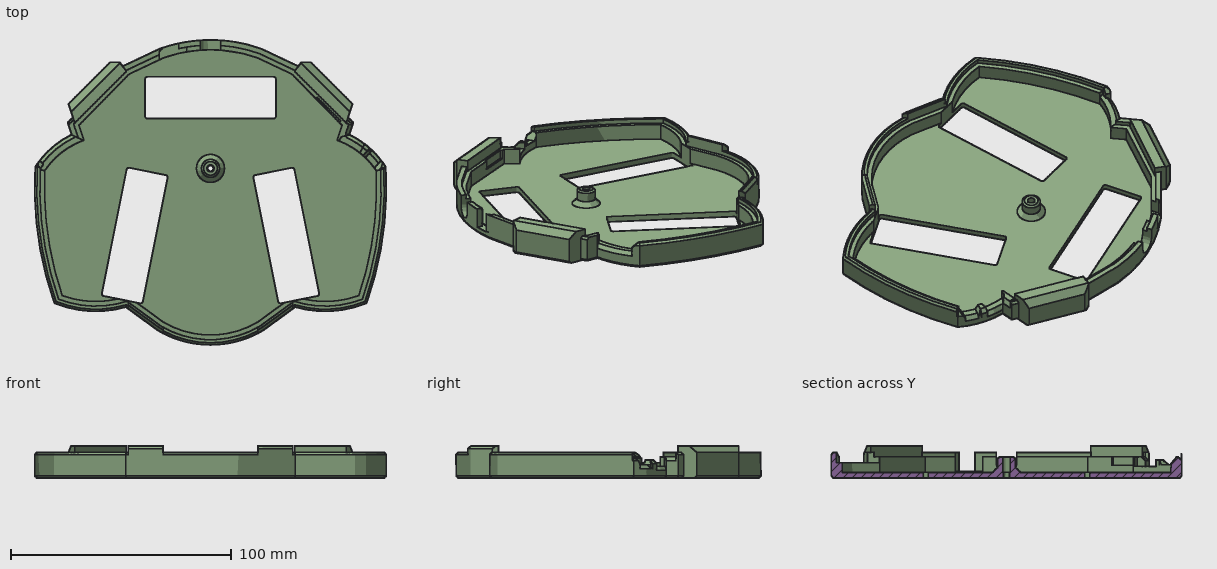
import cadquery as cq
import math

FLOOR_Z = 2.63
LEDGE_Z = FLOOR_Z + 7.0
LIP_Z = LEDGE_Z + 2.0
TOP_Z = LIP_Z + 3.0

LIP_WIDTH = 2.4
WALL_WIDTH = 4.5
EDGE_CHAMFER = 1.0
CHAMFER_ANGLE = 45.0
CHAMFERED_LIP_BACK_Y = 1.0

HALF_WIDTH = 159.31 / 2
FRONT_Y = -79.95
BACK_Y = 58.2
FRONT_ARC_END = (23.9, -73.3)
FRONT_NOTCH = (38.3, -62.8)
LOBE_MID = (51.5, -64.75)
LOBE_END = (70.7, -61.0)
LOBE_CORNER_RADIUS = 2.0
SIDE_MID = (78.2, -30.0)
SIDE_END = (79.38, 0.6)
BULGE_MID = (72.8, 8.5)
SHOULDER_INNER = (62.9, 15.3)
SHOULDER_OUTER = (64.7, 20.7)
FLANK_END = (39.5, 46.4)
BACK_ARC_END = (23.0, 54.2)

WINDOW_LENGTH = 59.1
WINDOW_WIDTH = 18.8
WINDOW_CORNER_RADIUS = 1.0
BACK_WINDOW_Y = 32.0
SIDE_WINDOW_CENTRE = (34.3, -30.4)
SIDE_WINDOW_TILT = 11.3

BOSS_DIAMETER = 8.2
BOSS_TOP_Z = LEDGE_Z
BOSS_CHAMFER_WIDTH = 1.0
BOSS_CHAMFER_HEIGHT = 0.7
BOSS_CONE = 2.25
BOSS_BORE = 3.2
BOSS_THROUGH_HOLE = 2.53

DIAGONAL = math.sqrt(0.5)
SHOULDER_FACE = (SHOULDER_OUTER[0] + SHOULDER_OUTER[1]) * DIAGONAL
SHOULDER_SPAN = (27.0, 33.0)
BLOCK_INNER = SHOULDER_FACE - LIP_WIDTH
BLOCK_OUTER = 66.1
BLOCK_BEVEL_WIDTH = 3.4
BLOCK_BEVEL_HEIGHT = 3.0
BLOCK_SPAN = (-10.0, 40.0)
BLOCK_FOOTPRINT = [(37.0, 42.5), (41.1, 48.1), (48.0, 48.1), (65.0, 31.07), (61.0, 19.2)]

RECESS_START = 11.3
RECESS_END = 26.4
RECESS_DEPTH = 1.0
RECESS_Z = 5.7

RAISED_LIP_START = 21.5
RAISED_LIP_END = 37.3
RAISED_LIP_BACK_Y = -55.0
RAISED_LIP_CHAMFER = 1.4

LOW_CHAMFER = 1.75
LEFT_LOW_Z = 7.0
RIGHT_LOW_Z = 5.3
RIGHT_STEP_Z = 6.06
TAB_Z = 8.2
SHOULDER_CUT_Z = LEDGE_Z
SHOULDER_WALL_END = [(57.6, 11.5), (59.2, 14.3), (63.2, 15.3)]
SHOULDER_REGION = [*SHOULDER_WALL_END, (66.0, 19.6), (62.7, 19.7), (62.0, 20.4), (56.0, 18.0)]
LEFT_WALL_END = [(56.4, 12.2), (63.2, 15.3)]
LOWER_WALL_END = [(82.0, 0.7), (75.2, -1.0)]
BULGE_OUTSIDE = (75.0, 20.0)
BULGE_CAVITY = (66.0, 2.0)
TAB_START = [(71.0, 13.5), (67.3, 6.3)]
TAB_END = [(75.0, 12.3), (68.2, 4.9)]
TAB_RAMP_LENGTH = 1.4
END_RAMP_FOOT = (74.9, 1.0)
END_RAMP_LENGTH = 2.2
END_RAMP_OVERLAP = 2.0
RAMP_REACH = 6.0
RAMP_ANGLE = 47.0

CABLE_NOTCH_DIAMETER = 9.2
GAP_LIP_END = -14.3
GAP_SLANTED_END = [(-19.0, 57.5), (-23.2, 52.8), (-23.2, 46.0)]
GAP_WALL_END = -10.8
GAP_FRONT_Y = 46.0
GAP_FLOOR_Z = 3.0


def mirrored(point):
    """The point reflected across the plane X = 0."""
    return (-point[0], point[1])


def outline():
    """Closed outer wire of the part."""
    path = cq.Workplane("XY").moveTo(*mirrored(FRONT_ARC_END))
    path = path.threePointArc((0, FRONT_Y), FRONT_ARC_END).lineTo(*FRONT_NOTCH)
    path = path.threePointArc(LOBE_MID, LOBE_END)
    path = path.threePointArc(SIDE_MID, SIDE_END).threePointArc(BULGE_MID, SHOULDER_INNER)
    path = path.lineTo(*SHOULDER_OUTER).lineTo(*FLANK_END).lineTo(*BACK_ARC_END)
    path = path.threePointArc((0, BACK_Y), mirrored(BACK_ARC_END))
    path = path.lineTo(*mirrored(FLANK_END)).lineTo(*mirrored(SHOULDER_OUTER))
    path = path.lineTo(*mirrored(SHOULDER_INNER))
    path = path.threePointArc(mirrored(BULGE_MID), mirrored(SIDE_END))
    path = path.threePointArc(mirrored(SIDE_MID), mirrored(LOBE_END))
    path = path.threePointArc(mirrored(LOBE_MID), mirrored(FRONT_NOTCH))
    return path.close()


def rounded_outline():
    """Outer wire with its two lobe corners rounded."""
    wire = outline().val()
    corners = [v for v in wire.Vertices() if math.isclose(v.Y, LOBE_END[1], abs_tol=0.01)]
    return cq.Workplane("XY").add(wire.fillet2D(LOBE_CORNER_RADIUS, corners)).toPending()


def inside(inset, bottom, top):
    """Solid of the outline moved inward by inset, from bottom to top."""
    solid = outline().offset2D(-inset, "tangent").extrude(top - bottom)
    return solid.translate((0, 0, bottom))


def prism(points, bottom, top):
    """Upright prism over a closed plan polygon."""
    return cq.Workplane("XY", origin=(0, 0, bottom)).polyline(points).close().extrude(top - bottom)


def block(x_range, y_range, z_range):
    """Axis-aligned box between the given limits."""
    (x0, x1), (y0, y1) = x_range, y_range
    return prism([(x0, y0), (x1, y0), (x1, y1), (x0, y1)], *z_range)


def plate(top, chamfer):
    """Full outline up to top, with 45-degree chamfers round both ends."""
    foot = rounded_outline().extrude(EDGE_CHAMFER, taper=CHAMFER_ANGLE)
    foot = foot.mirror("XY").translate((0, 0, EDGE_CHAMFER))
    side = rounded_outline().extrude(top - chamfer - EDGE_CHAMFER).translate((0, 0, EDGE_CHAMFER))
    if chamfer == 0:
        return foot.union(side)
    crown = rounded_outline().extrude(chamfer, taper=CHAMFER_ANGLE).translate((0, 0, top - chamfer))
    return foot.union(side).union(crown)


def rim(inset, top, chamfer):
    """Wall from the outer surface inward by inset, from the underside to top."""
    return plate(top, chamfer).cut(inside(inset, 0, top))


def flank_prism(profile, start, end, side):
    """Extrude an (outward, z) profile along the flank; side is +1 for +X, -1 for -X."""
    along = (DIAGONAL, -DIAGONAL, 0)
    outward = (DIAGONAL, DIAGONAL, 0)
    origin = (along[0] * start, along[1] * start, 0)
    plane = cq.Plane(origin=origin, xDir=outward, normal=along)
    solid = cq.Workplane(plane).polyline(profile).close().extrude(end - start)
    return solid if side > 0 else solid.mirror("YZ")


def tray():
    """Floor and wall with a plain lip at the back and a chamfered lip at the front."""
    front = block((-HALF_WIDTH, HALF_WIDTH), (FRONT_Y, CHAMFERED_LIP_BACK_Y), (0, LIP_Z))
    back = plate(LIP_Z, 0).cut(front)
    body = plate(LIP_Z, EDGE_CHAMFER).intersect(front).union(back)
    return body.cut(inside(LIP_WIDTH, LEDGE_Z, LIP_Z)).cut(inside(WALL_WIDTH, FLOOR_Z, LIP_Z))


def lower_wall(body, region, top):
    """Lower the wall within a plan region to top, leaving a wide outer chamfer."""
    cut = prism(region, FLOOR_Z, TOP_Z)
    return body.cut(cut).union(rim(WALL_WIDTH, top, LOW_CHAMFER).intersect(cut))


def add_flank_blocks(body):
    """Bevel the exposed shoulder edges and add a bevelled block outside each flank."""
    shoulder_bevel = [
        (SHOULDER_FACE - EDGE_CHAMFER, LIP_Z),
        (SHOULDER_FACE + EDGE_CHAMFER, LIP_Z),
        (SHOULDER_FACE + EDGE_CHAMFER, LIP_Z - 2 * EDGE_CHAMFER),
    ]
    section = [
        (BLOCK_INNER, 0),
        (BLOCK_OUTER - EDGE_CHAMFER, 0),
        (BLOCK_OUTER, EDGE_CHAMFER),
        (BLOCK_OUTER, TOP_Z - BLOCK_BEVEL_HEIGHT),
        (BLOCK_OUTER - BLOCK_BEVEL_WIDTH, TOP_Z),
        (BLOCK_INNER, TOP_Z),
    ]
    for side in (1, -1):
        footprint = [(side * x, y) for x, y in BLOCK_FOOTPRINT]
        bar = flank_prism(section, *BLOCK_SPAN, side).intersect(prism(footprint, 0, TOP_Z))
        body = body.cut(flank_prism(shoulder_bevel, *SHOULDER_SPAN, side)).union(bar)
    return body


def add_raised_lips(body):
    """Raise the lip to full height beside each front notch."""
    ring = rim(LIP_WIDTH, TOP_Z, RAISED_LIP_CHAMFER)
    for side in (1, -1):
        x_range = (side * RAISED_LIP_START, side * RAISED_LIP_END)
        body = body.union(ring.intersect(block(x_range, (FRONT_Y, RAISED_LIP_BACK_Y), (LEDGE_Z, TOP_Z))))
    return body


def ramp(foot, profile, wall):
    """Part of a wall under an (along, z) profile placed at foot, on the lower half of the +X bulge."""
    angle = math.radians(RAMP_ANGLE)
    plane = cq.Plane(
        origin=(*foot, 0),
        xDir=(math.sin(angle), -math.cos(angle), 0),
        normal=(-math.cos(angle), -math.sin(angle), 0),
    )
    return wall.intersect(cq.Workplane(plane).polyline(profile).close().extrude(RAMP_REACH, both=True))


def rising_ramp(foot, low, high, wall):
    """Ramp from low up to high that then runs level into the full-height wall."""
    level_end = END_RAMP_LENGTH + END_RAMP_OVERLAP
    profile = [(0, FLOOR_Z), (0, low), (END_RAMP_LENGTH, high), (level_end, high), (level_end, FLOOR_Z)]
    return ramp(foot, profile, wall)


def lower_left_bulge(body):
    """Lower the -X bulge evenly, with a bevelled lip end at the lower corner."""
    region = LEFT_WALL_END + [BULGE_OUTSIDE] + LOWER_WALL_END + [BULGE_CAVITY]
    body = lower_wall(body, [mirrored(p) for p in region], LEFT_LOW_Z)
    lip = rim(LIP_WIDTH, LIP_Z, EDGE_CHAMFER)
    lip_end = rising_ramp(END_RAMP_FOOT, LIP_Z - END_RAMP_LENGTH, LIP_Z, lip)
    return body.union(lip_end.mirror("YZ"))


def lower_right_bulge(body):
    """Lower the +X bulge in steps, keeping a ramped tab, and open its shoulder."""
    body = lower_wall(body, SHOULDER_REGION, SHOULDER_CUT_Z)
    body = lower_wall(body, SHOULDER_WALL_END + TAB_START, RIGHT_LOW_Z)
    body = lower_wall(body, TAB_START[::-1] + TAB_END, TAB_Z)
    body = lower_wall(body, TAB_END[::-1] + LOWER_WALL_END + [BULGE_CAVITY], RIGHT_STEP_Z)
    tab_profile = [(0, FLOOR_Z), (0, TAB_Z), (TAB_RAMP_LENGTH, RIGHT_STEP_Z), (TAB_RAMP_LENGTH, FLOOR_Z)]
    tab_ramp = ramp(TAB_END[1], tab_profile, rim(WALL_WIDTH, TAB_Z, LOW_CHAMFER))
    end_wall = rim(WALL_WIDTH, LEDGE_Z, LOW_CHAMFER)
    end_ramp = rising_ramp(END_RAMP_FOOT, RIGHT_STEP_Z, LEDGE_Z, end_wall)
    return body.union(tab_ramp).union(end_ramp)


def add_boss(body):
    """Chamfered screw boss with a conical foot and a stepped through hole."""
    radius = BOSS_DIAMETER / 2
    profile = [
        (0, 0),
        (radius + BOSS_CONE, 0),
        (radius + BOSS_CONE, FLOOR_Z),
        (radius, FLOOR_Z + BOSS_CONE),
        (radius, BOSS_TOP_Z - BOSS_CHAMFER_HEIGHT),
        (radius - BOSS_CHAMFER_WIDTH, BOSS_TOP_Z),
        (0, BOSS_TOP_Z),
    ]
    boss = cq.Workplane("XZ").polyline(profile).close().revolve(360, (0, 0, 0), (0, 1, 0))
    bore = cq.Workplane("XY", origin=(0, 0, FLOOR_Z)).circle(BOSS_BORE / 2).extrude(BOSS_TOP_Z)
    hole = cq.Workplane("XY").circle(BOSS_THROUGH_HOLE / 2).extrude(BOSS_TOP_Z)
    return body.union(boss).cut(bore).cut(hole)


def window(centre, tilt):
    """Cutter for one round-cornered window, its length turned by tilt from +X."""
    cutter = cq.Workplane("XY").rect(WINDOW_LENGTH, WINDOW_WIDTH).extrude(LEDGE_Z)
    cutter = cutter.edges("|Z").fillet(WINDOW_CORNER_RADIUS)
    return cutter.rotate((0, 0, 0), (0, 0, 1), tilt).translate((*centre, 0))


def cut_windows(body):
    """Cut the back window and the two tilted side windows."""
    body = body.cut(window((0, BACK_WINDOW_Y), 0))
    body = body.cut(window(SIDE_WINDOW_CENTRE, SIDE_WINDOW_TILT - 90))
    return body.cut(window(mirrored(SIDE_WINDOW_CENTRE), 90 - SIDE_WINDOW_TILT))


def cut_back_wall(body):
    """Round-bottomed cable notch and a stepped gap through the back wall."""
    radius = CABLE_NOTCH_DIAMETER / 2
    y_range = (BACK_Y - 2 * WALL_WIDTH, BACK_Y)
    bottom = cq.Workplane("XZ", origin=(0, BACK_Y, FLOOR_Z + radius)).circle(radius)
    body = body.cut(bottom.extrude(2 * WALL_WIDTH))
    body = body.cut(block((-radius, radius), y_range, (FLOOR_Z + radius, LIP_Z)))
    gap_y = (GAP_FRONT_Y, BACK_Y)
    gap = GAP_SLANTED_END + [(GAP_LIP_END, GAP_FRONT_Y), (GAP_LIP_END, BACK_Y)]
    body = body.cut(prism(gap, GAP_FLOOR_Z, LIP_Z))
    inner_gap = block((GAP_LIP_END, GAP_WALL_END), gap_y, (GAP_FLOOR_Z, LIP_Z))
    return body.cut(inner_gap.intersect(inside(LIP_WIDTH, 0, LIP_Z)))


def cut_recess(body):
    """Shallow recess, open at the ledge, in the +X flank wall."""
    inner_face = SHOULDER_FACE - WALL_WIDTH
    section = [
        (inner_face - RECESS_DEPTH, RECESS_Z),
        (inner_face + RECESS_DEPTH, RECESS_Z),
        (inner_face + RECESS_DEPTH, LEDGE_Z),
        (inner_face - RECESS_DEPTH, LEDGE_Z),
    ]
    return body.cut(flank_prism(section, RECESS_START, RECESS_END, 1))


result = tray()
result = lower_left_bulge(result)
result = lower_right_bulge(result)
result = add_flank_blocks(result)
result = add_raised_lips(result)
result = add_boss(result)
result = cut_windows(result)
result = cut_back_wall(result)
result = cut_recess(result)